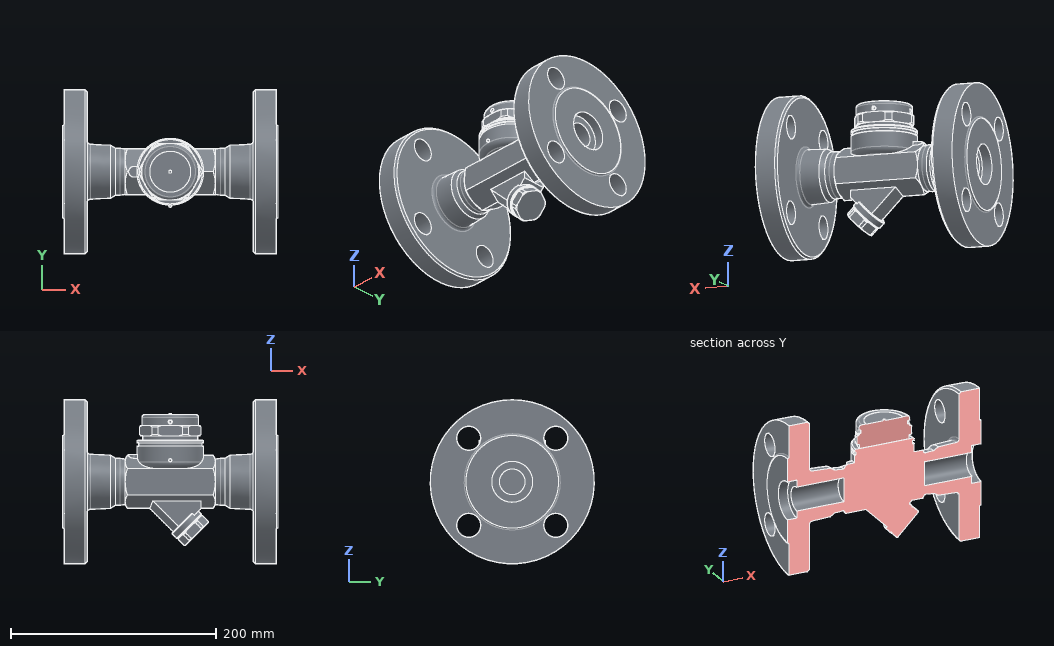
import cadquery as cq
import math

SQRT3 = math.sqrt(3)

LENGTH = 210
FLANGE_DIA = 160.0
FLANGE_THICKNESS = 22.5
FLANGE_CHAMFER = 2
FACE_HEIGHT = 1.7
FACE_DIA = 90.3
BOLT_HOLE_DIA = 23
BOLT_SPACING = 84.8
SOCKET_DIA = 40
SOCKET_DEPTH = 10.0
BORE_DIA = 25.0
HUB_DIA = 54.0
HUB_FILLET = 3.0
HUB_TAPER_DIA = 52.0
HUB_TAPER_END = 58.2
PIPE_DIA = 46.0
PIPE_START = 53.3
PIPE_END = 48.7
PIPE_ROOT_DIA = 44.5

FACE_X = LENGTH / 2 - FACE_HEIGHT
FLANGE_BACK_X = FACE_X - FLANGE_THICKNESS

BODY_LENGTH = 87.8
BODY_FLATS = 45.0
BODY_CHAMFER = 2
BODY_END_RADIUS = 22.5

SEAT_DIA = 65
SEAT_BOTTOM = 13.0
SEAT_TOP = 41.0
SEAT_FILLET = 6.0
SEAT_CHAMFER = 1.3
GROOVE_DIA = 62.0
GROOVE_BOTTOM = 34.6
GROOVE_TOP = 37.8
STUD_DIA = 3.0
STUD_REACH = 34.6
STUD_Z = 21
LUG_WIDTH = 10.5
LUG_TIP_X = -40.5
LUG_TOP = 26.7

BRANCH_ORIGIN_X = -25.0
BRANCH_FLATS = 25.6
BRANCH_END = 57.3
BRANCH_SIDE_X = 30.0
COLLAR_DIA = 34.0
COLLAR_START = 54.2
COLLAR_END = 61.7
COLLAR_CHAMFER = 0.6
PLUG_NECK_DIA = 32.3
PLUG_HEX_FLATS = 30.5
PLUG_HEX_DIA = 33.4
PLUG_HEX_START = 62.4
PLUG_HEX_END = 72.0
PLUG_CHAMFER = 0.8

NECK_DIA = 54.0
CAP_HEX_BOTTOM = 44.7
CAP_HEX_TOP = 54.8
CAP_HEX_FLATS = 55.0
CAP_HEX_DIA = 60.0
CAP_HEX_CHAMFER = 1.3
CAP_DIA = 55.5
CAP_TOP = 65.7
CAP_FILLET = 3.2
CAP_DISH_DIA = 40
CAP_DISH_DEPTH = 0.2
CAP_PIP_HEIGHT = 1.0
CAP_HOLE_MOUTH_DIA = 4.0
CAP_HOLE_FLOOR_DIA = 3.0
CAP_HOLE_DEPTH = 2
CAP_HOLE_COUNT = 4
CAP_HOLE_Z = 58.4


def chamfered_disc(diameter, bottom, top, chamfer):
    """Upright cylinder with both rims chamfered."""
    return (
        cq.Workplane("XY", origin=(0, 0, bottom))
        .circle(diameter / 2)
        .extrude(top - bottom)
        .edges("%CIRCLE")
        .chamfer(chamfer)
    )


def hex_nut(flats, rim_dia, bottom, top, chamfer):
    """Upright hexagon, two flats facing +Y and -Y, with its corners turned down."""
    prism = (
        cq.Workplane("XY", origin=(0, 0, bottom))
        .polygon(6, 2 * flats / SQRT3)
        .extrude(top - bottom)
    )
    return prism.intersect(chamfered_disc(rim_dia, bottom, top, chamfer))


def flange_end():
    """Flange with raised face and hub on the +X side, still without its bores."""
    end = (
        cq.Workplane("XZ")
        .lineTo(0, PIPE_ROOT_DIA / 2)
        .lineTo(BODY_LENGTH / 2, PIPE_ROOT_DIA / 2)
        .lineTo(PIPE_END, PIPE_DIA / 2)
        .lineTo(PIPE_START, PIPE_DIA / 2)
        .lineTo(HUB_TAPER_END, HUB_TAPER_DIA / 2)
        .lineTo(FLANGE_BACK_X - HUB_FILLET, HUB_DIA / 2)
        .radiusArc((FLANGE_BACK_X, HUB_DIA / 2 + HUB_FILLET), -HUB_FILLET)
        .lineTo(FLANGE_BACK_X, FLANGE_DIA / 2 - FLANGE_CHAMFER)
        .lineTo(FLANGE_BACK_X + FLANGE_CHAMFER, FLANGE_DIA / 2)
        .lineTo(FACE_X, FLANGE_DIA / 2)
        .lineTo(FACE_X, FACE_DIA / 2 + FACE_HEIGHT)
        .radiusArc((LENGTH / 2, FACE_DIA / 2), -FACE_HEIGHT)
        .lineTo(LENGTH / 2, 0)
        .close()
        .revolve(360, (0, 0, 0), (1, 0, 0))
    )
    bolt_holes = (
        cq.Workplane("YZ", origin=(FLANGE_BACK_X, 0, 0))
        .rect(BOLT_SPACING, BOLT_SPACING, forConstruction=True)
        .vertices()
        .circle(BOLT_HOLE_DIA / 2)
        .extrude(FLANGE_THICKNESS)
    )
    return end.cut(bolt_holes)


def flow_bore():
    """Socket and blind bore entering from the +X face."""
    socket = (
        cq.Workplane("YZ", origin=(LENGTH / 2 - SOCKET_DEPTH, 0, 0))
        .circle(SOCKET_DIA / 2)
        .extrude(SOCKET_DEPTH)
    )
    bore = (
        cq.Workplane("YZ", origin=(BODY_LENGTH / 2, 0, 0))
        .circle(BORE_DIA / 2)
        .extrude(LENGTH / 2 - BODY_LENGTH / 2)
    )
    return socket.union(bore)


def hex_body():
    """Hexagonal bar along X, edge upward, with both ends turned to a cone."""
    half = BODY_LENGTH / 2
    corner_radius = BODY_FLATS / SQRT3
    bar = (
        cq.Workplane("YZ", origin=(-half, 0, 0))
        .transformed(rotate=(0, 0, 90))
        .polygon(6, 2 * corner_radius)
        .extrude(BODY_LENGTH)
    )
    turned = (
        cq.Workplane("XY")
        .moveTo(-half, 0)
        .lineTo(-half, BODY_END_RADIUS)
        .lineTo(-half + BODY_CHAMFER, corner_radius)
        .lineTo(half - BODY_CHAMFER, corner_radius)
        .lineTo(half, BODY_END_RADIUS)
        .lineTo(half, 0)
        .close()
        .revolve(360, (0, 0, 0), (1, 0, 0))
    )
    return bar.intersect(turned)


def bonnet_seat():
    """Round seat for the cap with its retaining groove, locating stud and lug."""
    radius = SEAT_DIA / 2
    seat = (
        cq.Workplane("XZ")
        .moveTo(0, SEAT_BOTTOM)
        .lineTo(radius - SEAT_FILLET, SEAT_BOTTOM)
        .radiusArc((radius, SEAT_BOTTOM + SEAT_FILLET), -SEAT_FILLET)
        .lineTo(radius, GROOVE_BOTTOM)
        .lineTo(GROOVE_DIA / 2, GROOVE_BOTTOM)
        .lineTo(GROOVE_DIA / 2, GROOVE_TOP)
        .lineTo(radius, GROOVE_TOP)
        .lineTo(radius, SEAT_TOP - SEAT_CHAMFER)
        .lineTo(radius - SEAT_CHAMFER, SEAT_TOP)
        .lineTo(0, SEAT_TOP)
        .close()
        .revolve(360, (0, 0, 0), (0, 1, 0))
    )
    stud_radius = STUD_DIA / 2
    stud = (
        cq.Workplane("XZ", origin=(0, 0, STUD_Z))
        .circle(stud_radius)
        .extrude(STUD_REACH - stud_radius)
        .union(cq.Workplane("XY").sphere(stud_radius).translate((0, stud_radius - STUD_REACH, STUD_Z)))
    )
    lug_centre_x = LUG_TIP_X + LUG_WIDTH / 2
    lug = (
        cq.Workplane("XY")
        .moveTo(0, LUG_WIDTH / 2)
        .lineTo(lug_centre_x, LUG_WIDTH / 2)
        .threePointArc((LUG_TIP_X, 0), (lug_centre_x, -LUG_WIDTH / 2))
        .lineTo(0, -LUG_WIDTH / 2)
        .close()
        .extrude(LUG_TOP)
    )
    return seat.union(stud).union(lug)


def strainer_branch():
    """Inclined hexagonal branch, filled up to the body, with its collar and plug head."""
    corner_radius = BRANCH_FLATS / SQRT3
    prism = cq.Workplane("XY").polygon(6, 2 * corner_radius).extrude(BRANCH_END)
    collar = chamfered_disc(COLLAR_DIA, COLLAR_START, COLLAR_END, COLLAR_CHAMFER)
    neck = (
        cq.Workplane("XY", origin=(0, 0, COLLAR_END))
        .circle(PLUG_NECK_DIA / 2)
        .extrude(PLUG_HEX_START - COLLAR_END)
    )
    head = hex_nut(PLUG_HEX_FLATS, PLUG_HEX_DIA, PLUG_HEX_START, PLUG_HEX_END, PLUG_CHAMFER)
    branch = prism.union(collar).union(neck).union(head)
    branch = branch.rotate((0, 0, 0), (0, 1, 0), 135).translate((BRANCH_ORIGIN_X, 0, 0))

    end_x = BRANCH_ORIGIN_X + BRANCH_END / math.sqrt(2)
    end_z = -BRANCH_END / math.sqrt(2)
    web = (
        cq.Workplane("XZ")
        .moveTo(BRANCH_ORIGIN_X, 0)
        .lineTo(end_x, end_z)
        .lineTo(BRANCH_SIDE_X, end_z + BRANCH_SIDE_X - end_x)
        .lineTo(BRANCH_SIDE_X, 0)
        .close()
        .extrude(BRANCH_FLATS / 2, both=True)
    )
    return branch.union(web)


def make_housing():
    """Flanged valve body."""
    end = flange_end()
    bore = flow_bore()
    housing = hex_body().union(end).union(end.mirror("YZ"))
    housing = housing.union(bonnet_seat()).union(strainer_branch())
    return housing.cut(bore).cut(bore.mirror("YZ"))


def make_cap():
    """Cap standing on the bonnet seat."""
    neck = (
        cq.Workplane("XY", origin=(0, 0, SEAT_TOP))
        .circle(NECK_DIA / 2)
        .extrude(CAP_HEX_BOTTOM - SEAT_TOP)
    )
    wrench_hex = hex_nut(CAP_HEX_FLATS, CAP_HEX_DIA, CAP_HEX_BOTTOM, CAP_HEX_TOP, CAP_HEX_CHAMFER)
    crown = (
        cq.Workplane("XY", origin=(0, 0, CAP_HEX_TOP))
        .circle(CAP_DIA / 2)
        .extrude(CAP_TOP - CAP_HEX_TOP)
        .faces(">Z")
        .edges()
        .fillet(CAP_FILLET)
    )
    dish = (
        cq.Workplane("XY", origin=(0, 0, CAP_TOP - CAP_DISH_DEPTH))
        .circle(CAP_DISH_DIA / 2)
        .extrude(CAP_DISH_DEPTH)
    )
    pip = cq.Workplane("XY").sphere(STUD_DIA / 2).translate((0, 0, CAP_TOP + CAP_PIP_HEIGHT - STUD_DIA / 2))
    cap = neck.union(wrench_hex).union(crown).cut(dish).union(pip)
    hole_floor_x = CAP_DIA / 2 - CAP_HOLE_DEPTH
    hole = (
        cq.Workplane("XZ")
        .moveTo(hole_floor_x, 0)
        .lineTo(hole_floor_x, CAP_HOLE_FLOOR_DIA / 2)
        .lineTo(CAP_DIA / 2, CAP_HOLE_MOUTH_DIA / 2)
        .lineTo(CAP_DIA / 2, 0)
        .close()
        .revolve(360, (0, 0, 0), (1, 0, 0))
        .translate((0, 0, CAP_HOLE_Z))
    )
    for i in range(CAP_HOLE_COUNT):
        cap = cap.cut(hole.rotate((0, 0, 0), (0, 0, 1), i * 360 / CAP_HOLE_COUNT))
    return cap


housing = make_housing()
cap = make_cap()
result = cq.Compound.makeCompound([housing.val(), cap.val()])